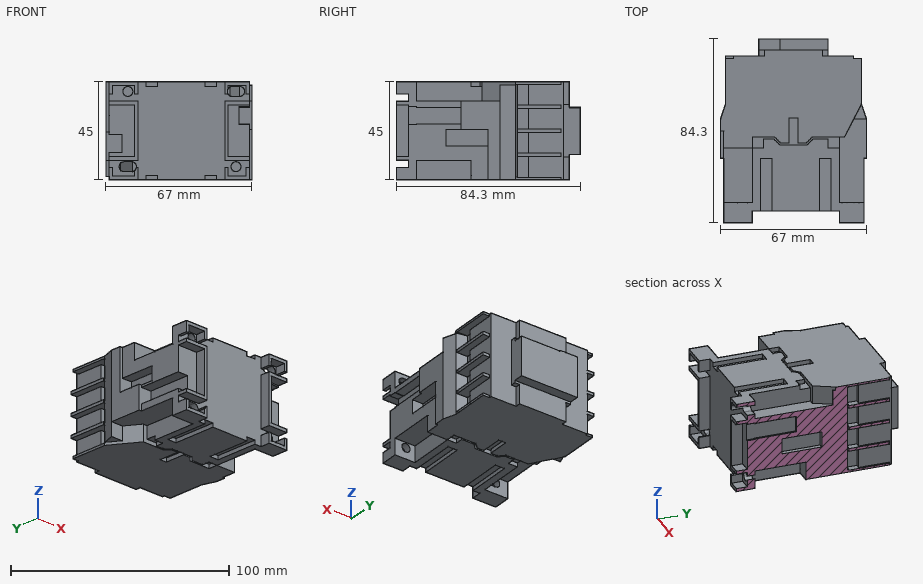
import cadquery as cq

SIDES = (-1, 1)

LENGTH = 84.3
HALF_WIDTH = 33.51
HALF_HEIGHT = 22.5

FOOT_DEPTH = 5.4
FLANGE_BACK = 9.3
POCKET_START = 22.7
WING_START = 29.5
CORNER_END = 34.2
COVER_EDGE = 39.3
WING_STEP = 42.0
WING_SHOULDER = 47.55
WING_END = 54.45
BODY_END = 76.55
NECK_END = 79.2

BODY_HALF_WIDTH = 31.2
BASE_HALF_WIDTH = 32.2
BASE_SHIFT = 0.2
CORE_HALF_WIDTH = 19.94
CORE_SHIFT = 1.05

CORNER_FLOOR = 13.6
SLANT_INSET = 2.4
WING_HEIGHT = 21.0
WING_STEP_HEIGHT = 0.5
FLANK_POCKET_HEIGHT = 7.46
FLANK_POCKET_FLOOR = 26.3

FOOT_BOTTOM = 16.8
FOOT_CAP = 1.8
INNER_WALL = 1.5
OUTER_WALL = 1.6

HOLE_RADIUS = 2.3
HOLE_SHIFT_X = 1.35
HOLE_SHIFT_Z = 0.8
HOLE_OFFSET_X = 24.8
HOLE_OFFSET_Z = 17.24
SLOT_LENGTH = 7.9

LEFT_CHANNEL_FLOOR = -26.05
LEFT_CHANNEL_SPAN = (-10.0, -1.7)
RIGHT_CHANNEL_FLOOR = 27.6
RIGHT_CHANNEL_SPAN = (2.9, 11.05)
RIGHT_CHANNEL_LEDGE = 0.25

GROOVE_DEPTH = 2.1
GROOVE_GAP = 0.9
TONGUE_HALF_WIDTH = 5.9
TONGUE_FLARE = 0.3
TONGUE_DROP = 2.7
NOTCH_WIDTH = 5.1
KEYWAY_HALF_WIDTH = 1.98
KEYWAY_END = 48.0
RAIL_OFFSET = 13.5
RAIL_WIDTH = 5.15

POCKET_COUNT = 4
POCKET_PITCH = 11.05
POCKET_HEIGHT = 9.4
TERMINAL_FLOOR = 27.6
RECESS_FLOOR = 25.3
RECESS_START = 55.4
RECESS_END = 60.45
PLATE_END = 75.4
PLATE_THICKNESS = 1.3

NECK_HALF_WIDTH = 13.2
CAP_HALF_WIDTH = 15.9
CAP_HALF_HEIGHT = 10.9
COLLAR_HALF_HEIGHT = 12.1
CAP_STEP_X = -6.15
CAP_STEP_DEPTH = 0.4

CLEAR = 4.2


def block(x_span, y_span, z_span):
    """Box between two limits on each axis, given in either order."""
    x, y, z = sorted(x_span), sorted(y_span), sorted(z_span)
    box = cq.Workplane("XY").box(x[1] - x[0], y[1] - y[0], z[1] - z[0], centered=False)
    return box.translate((x[0], y[0], z[0]))


def prism(points, z_span):
    """XY outline extruded between two heights, given in either order."""
    low, high = sorted(z_span)
    return cq.Workplane("XY").workplane(offset=low).polyline(points).close().extrude(high - low)


def base_x(side):
    """Outer face of the base on one flank."""
    return BASE_SHIFT + side * BASE_HALF_WIDTH


def core_x(side):
    """Inner limit of the feet and corner cut-outs on one flank."""
    return CORE_SHIFT + side * CORE_HALF_WIDTH


def beyond_x(side):
    """Position safely outside one flank."""
    return side * (HALF_WIDTH + CLEAR)


def flank_outline(side):
    return [
        (base_x(side), FOOT_DEPTH),
        (base_x(side), WING_START),
        (side * HALF_WIDTH, WING_START),
        (side * HALF_WIDTH, WING_SHOULDER),
        (side * BODY_HALF_WIDTH, WING_END),
        (side * BODY_HALF_WIDTH, BODY_END),
    ]


def housing():
    outline = flank_outline(-1) + flank_outline(1)[::-1]
    return prism(outline, (-HALF_HEIGHT, HALF_HEIGHT))


def neck_and_cap():
    neck_length = (BODY_END, NECK_END)
    cap_width = (-CAP_HALF_WIDTH, CAP_HALF_WIDTH)
    neck = block((-NECK_HALF_WIDTH, NECK_HALF_WIDTH), neck_length, (-HALF_HEIGHT, HALF_HEIGHT))
    collar = block(cap_width, neck_length, (-COLLAR_HALF_HEIGHT, COLLAR_HALF_HEIGHT))
    cap = block(cap_width, (NECK_END, LENGTH), (-CAP_HALF_HEIGHT, CAP_HALF_HEIGHT))
    step = block(
        (CAP_STEP_X, CAP_HALF_WIDTH),
        (NECK_END, LENGTH),
        (CAP_HALF_HEIGHT - CAP_STEP_DEPTH, CAP_HALF_HEIGHT),
    )
    return neck.union(collar).union(cap.cut(step))


def feet(side):
    """Two hooded corner feet and the channel-shaped middle foot of one flank."""
    depth = (0, FOOT_DEPTH)
    inner_wall_x = core_x(side) + side * INNER_WALL
    outer_wall_x = base_x(side) - side * OUTER_WALL

    middle_inside = CORNER_FLOOR - FOOT_CAP
    group = block((core_x(side), base_x(side)), depth, (-CORNER_FLOOR, CORNER_FLOOR))
    group = group.cut(
        block((inner_wall_x, beyond_x(side)), depth, (-middle_inside, middle_inside))
    )
    for level in (-1, 1):
        foot = block(
            (core_x(side), base_x(side)), depth, (level * FOOT_BOTTOM, level * HALF_HEIGHT)
        )
        hollow = block(
            (inner_wall_x, outer_wall_x),
            depth,
            (level * FOOT_BOTTOM, level * (HALF_HEIGHT - FOOT_CAP)),
        )
        group = group.union(foot.cut(hollow))
    return group


def straight_corner(side):
    """Square corner cut-out, on top at the left flank and below at the right."""
    return block(
        (core_x(side), beyond_x(side)),
        (FLANGE_BACK, CORNER_END),
        (-side * CORNER_FLOOR, -side * HALF_HEIGHT),
    )


def slanted_corner(side):
    """Corner cut-out with a slanted back wall, kept shallow over the wing slope."""
    start_x = core_x(side) + side * SLANT_INSET
    end_x = side * BODY_HALF_WIDTH
    shoulder_fraction = (WING_SHOULDER - COVER_EDGE) / (WING_END - COVER_EDGE)
    shoulder_x = start_x + shoulder_fraction * (end_x - start_x)

    def cutter(last_x, last_y, z_span):
        outline = [
            (core_x(side), FLANGE_BACK),
            (core_x(side), COVER_EDGE),
            (start_x, COVER_EDGE),
            (last_x, last_y),
            (beyond_x(side), last_y),
            (beyond_x(side), FLANGE_BACK),
        ]
        return prism(outline, z_span)

    deep = cutter(shoulder_x, WING_SHOULDER, (side * CORNER_FLOOR, side * HALF_HEIGHT))
    shallow = cutter(end_x, WING_END, (side * WING_HEIGHT, side * HALF_HEIGHT))
    return deep.union(shallow)


def wing_relief(side):
    """Step in the wing and the blind pocket beside it."""
    edge_z = side * WING_STEP_HEIGHT
    step = block(
        (base_x(side), beyond_x(side)),
        (WING_START, WING_STEP),
        (edge_z, -side * HALF_HEIGHT),
    )
    pocket = block(
        (side * FLANK_POCKET_FLOOR, beyond_x(side)),
        (POCKET_START, WING_STEP),
        (edge_z, edge_z - side * FLANK_POCKET_HEIGHT),
    )
    return step.union(pocket)


def flank_channels():
    """Open channels running from the middle feet back to the wings."""
    left = block((LEFT_CHANNEL_FLOOR, beyond_x(-1)), (FOOT_DEPTH, WING_START), LEFT_CHANNEL_SPAN)
    mouth = block((RIGHT_CHANNEL_FLOOR, beyond_x(1)), (FOOT_DEPTH, FLANGE_BACK), RIGHT_CHANNEL_SPAN)
    low, high = RIGHT_CHANNEL_SPAN
    right = block(
        (RIGHT_CHANNEL_FLOOR, beyond_x(1)),
        (FOOT_DEPTH, WING_START),
        (low + RIGHT_CHANNEL_LEDGE, high - RIGHT_CHANNEL_LEDGE),
    )
    return left.union(mouth).union(right)


def mounting_holes(side):
    """One round and one elongated hole through the flange of one flank."""
    x = HOLE_SHIFT_X + side * HOLE_OFFSET_X
    round_hole = (
        cq.Workplane("XZ")
        .center(x, HOLE_SHIFT_Z - side * HOLE_OFFSET_Z)
        .circle(HOLE_RADIUS)
        .extrude(-FLANGE_BACK)
    )
    long_hole = (
        cq.Workplane("XZ")
        .center(x, HOLE_SHIFT_Z + side * HOLE_OFFSET_Z)
        .slot2D(SLOT_LENGTH, 2 * HOLE_RADIUS)
        .extrude(-FLANGE_BACK)
    )
    return round_hole.union(long_hole)


def face_grooves(level):
    """Parting groove, keyway and two rails on the top (+1) or bottom (-1) face."""
    z_span = (level * (HALF_HEIGHT - GROOVE_DEPTH), level * HALF_HEIGHT)
    left, right = core_x(-1), core_x(1)
    base_line = COVER_EDGE - GROOVE_GAP
    cover_half = TONGUE_HALF_WIDTH
    base_half = TONGUE_HALF_WIDTH + TONGUE_FLARE
    cover_edge = [
        (left, COVER_EDGE),
        (-cover_half - TONGUE_DROP, COVER_EDGE),
        (-cover_half, COVER_EDGE - TONGUE_DROP),
        (cover_half, COVER_EDGE - TONGUE_DROP),
        (cover_half + TONGUE_DROP, COVER_EDGE),
        (right, COVER_EDGE),
    ]
    base_edge = [
        (right, CORNER_END),
        (right - NOTCH_WIDTH, CORNER_END),
        (right - NOTCH_WIDTH, base_line),
        (base_half + TONGUE_DROP, base_line),
        (base_half, base_line - TONGUE_DROP),
        (-base_half, base_line - TONGUE_DROP),
        (-base_half - TONGUE_DROP, base_line),
        (left + NOTCH_WIDTH, base_line),
        (left + NOTCH_WIDTH, CORNER_END),
        (left, CORNER_END),
    ]
    grooves = prism(cover_edge + base_edge, z_span)
    keyway = block(
        (-KEYWAY_HALF_WIDTH, KEYWAY_HALF_WIDTH),
        (COVER_EDGE - TONGUE_DROP - GROOVE_GAP, KEYWAY_END),
        z_span,
    )
    grooves = grooves.union(keyway)
    for side in SIDES:
        centre = CORE_SHIFT + side * RAIL_OFFSET
        rail = block(
            (centre - RAIL_WIDTH / 2, centre + RAIL_WIDTH / 2),
            (FOOT_DEPTH, WING_START),
            z_span,
        )
        grooves = grooves.union(rail)
    return grooves


def terminal_pockets(side):
    """Row of pockets between ribs, deepened near the wing, with trimmed end plates."""
    inner_height = HALF_HEIGHT - PLATE_THICKNESS
    floor = side * TERMINAL_FLOOR
    recess_floor = side * RECESS_FLOOR
    wing_face = [
        (side * BODY_HALF_WIDTH, WING_END),
        (recess_floor, RECESS_START),
        (beyond_x(side), RECESS_START),
        (beyond_x(side), WING_END),
    ]
    pockets = prism(wing_face, (-inner_height, inner_height))
    for i in range(POCKET_COUNT):
        centre = (i - (POCKET_COUNT - 1) / 2) * POCKET_PITCH
        z_span = (centre - POCKET_HEIGHT / 2, centre + POCKET_HEIGHT / 2)
        pockets = pockets.union(block((floor, beyond_x(side)), (RECESS_START, BODY_END), z_span))
        pockets = pockets.union(
            block((recess_floor, beyond_x(side)), (RECESS_START, RECESS_END), z_span)
        )
    trim = block((floor, beyond_x(side)), (PLATE_END, BODY_END), (-HALF_HEIGHT, HALF_HEIGHT))
    if side < 0:
        trim = trim.cut(
            block((floor, beyond_x(side)), (PLATE_END, BODY_END), (-inner_height, inner_height))
        )
    return pockets.union(trim)


result = housing().union(neck_and_cap())
for side in SIDES:
    result = result.union(feet(side))
for side in SIDES:
    result = result.cut(straight_corner(side))
    result = result.cut(slanted_corner(side))
    result = result.cut(wing_relief(side))
    result = result.cut(mounting_holes(side))
    result = result.cut(terminal_pockets(side))
for level in (-1, 1):
    result = result.cut(face_grooves(level))
result = result.cut(flank_channels())